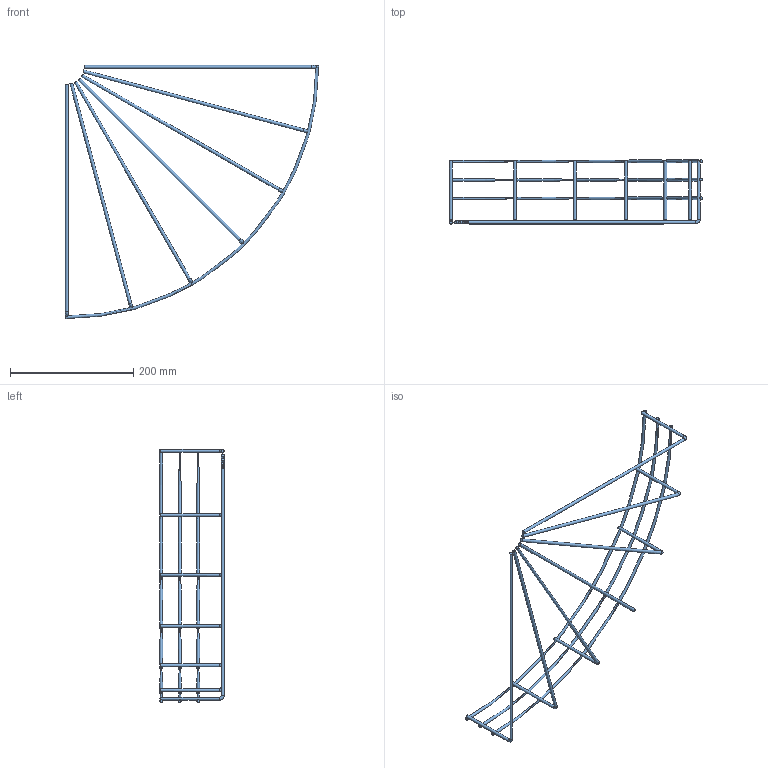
import cadquery as cq
import math

SPOKE_WIRE = 4.8
ARC_WIRE = 4.5

SPOKE_COUNT = 7
FAN_ANGLE = 90.0
SPOKE_INNER_RADIUS = 28.0
BEND_RADIUS = 5.0

SIDE_LENGTH = 410.55
DEPTH = 104.1

ARC_COUNT = 3
ARC_SPACING = 30.0
WELD_OVERLAP = 0.5

RISER_OVERRUN = 1.0

arc_radius = SIDE_LENGTH - SPOKE_WIRE / 2 - ARC_WIRE / 2
riser_radius = arc_radius - (SPOKE_WIRE + ARC_WIRE) / 2 + WELD_OVERLAP
last_arc_y = DEPTH - SPOKE_WIRE / 2 - ARC_WIRE / 2
riser_top_y = last_arc_y + RISER_OVERRUN


def bent_spoke(angle):
    """Radial wire in the XZ plane, bent at its outer end into a riser along +Y."""
    bend_start = riser_radius - BEND_RADIUS
    bend_offset = BEND_RADIUS * math.sqrt(0.5)
    bend_middle = (bend_start + bend_offset, BEND_RADIUS - bend_offset)
    path = (
        cq.Workplane("XY")
        .moveTo(SPOKE_INNER_RADIUS, 0)
        .lineTo(bend_start, 0)
        .threePointArc(bend_middle, (riser_radius, BEND_RADIUS))
        .lineTo(riser_radius, riser_top_y)
    )
    profile = cq.Workplane("YZ", origin=(SPOKE_INNER_RADIUS, 0, 0)).circle(SPOKE_WIRE / 2)
    return profile.sweep(path).rotate((0, 0, 0), (0, 1, 0), angle)


def arc_wire(y):
    """Quarter ring around the Y axis, run out to the outer sides of the end spokes."""
    overrun = math.degrees(math.asin(SPOKE_WIRE / 2 / arc_radius))
    return (
        cq.Workplane("XY")
        .center(arc_radius, y)
        .circle(ARC_WIRE / 2)
        .revolve(FAN_ANGLE + 2 * overrun, (-arc_radius, 0), (-arc_radius, 1))
        .rotate((0, 0, 0), (0, 1, 0), -overrun)
    )


spoke_step = FAN_ANGLE / (SPOKE_COUNT - 1)
result = bent_spoke(0)
for index in range(1, SPOKE_COUNT):
    result = result.union(bent_spoke(index * spoke_step))

for index in range(ARC_COUNT):
    result = result.union(arc_wire(last_arc_y - index * ARC_SPACING))